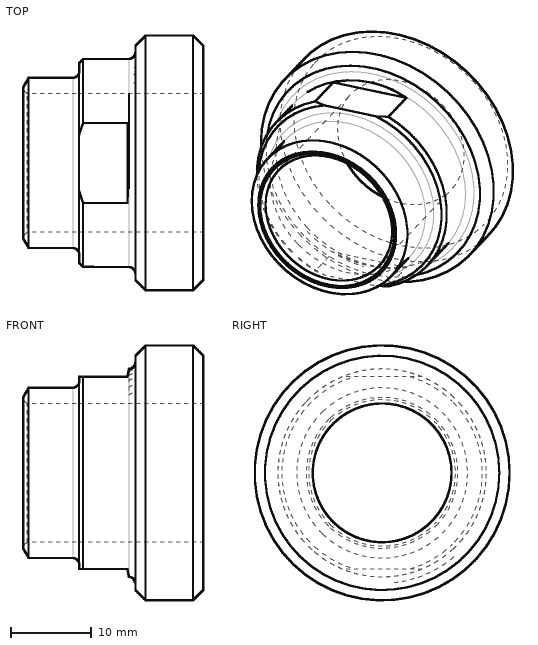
import cadquery as cq
import math

total_length = 22.5
body_start = 7.0
flange_start = 14.0

bore_diameter = 17.3
spigot_diameter = 21.3
body_diameter = 26.0
flange_diameter = 31.85

spigot_chamfer_length = 0.7
spigot_chamfer_angle = 60.0
bore_chamfer = 0.5
body_chamfer = 0.5
flange_chamfer = 1.3
shoulder_fillet = 0.8

across_flats = 24.0
flat_end = 13.0

spigot_radius = spigot_diameter / 2
body_radius = body_diameter / 2
flange_radius = flange_diameter / 2
spigot_chamfer_depth = spigot_chamfer_length * math.tan(math.radians(spigot_chamfer_angle))


def shoulder_arc_middle(shoulder_x, inner_radius):
    """Midpoint of the concave quarter arc between a cylinder and its shoulder face."""
    offset = shoulder_fillet * (1 - math.sqrt(0.5))
    return (shoulder_x - offset, inner_radius + offset)


def make_outer_body():
    """Solid of revolution about X: spigot, body and flange."""
    profile = (
        cq.Workplane("XY")
        .moveTo(0, 0)
        .lineTo(0, spigot_radius - spigot_chamfer_depth)
        .lineTo(spigot_chamfer_length, spigot_radius)
        .lineTo(body_start - shoulder_fillet, spigot_radius)
        .threePointArc(
            shoulder_arc_middle(body_start, spigot_radius),
            (body_start, spigot_radius + shoulder_fillet),
        )
        .lineTo(body_start, body_radius - body_chamfer)
        .lineTo(body_start + body_chamfer, body_radius)
        .lineTo(flange_start - shoulder_fillet, body_radius)
        .threePointArc(
            shoulder_arc_middle(flange_start, body_radius),
            (flange_start, body_radius + shoulder_fillet),
        )
        .lineTo(flange_start, flange_radius - flange_chamfer)
        .lineTo(flange_start + flange_chamfer, flange_radius)
        .lineTo(total_length - flange_chamfer, flange_radius)
        .lineTo(total_length, flange_radius - flange_chamfer)
        .lineTo(total_length, 0)
        .close()
    )
    return profile.revolve(360, (0, 0, 0), (1, 0, 0))


def make_flat_cutter():
    """Prism that clears the top wrench flat and leaves a sloping wall at its flange end."""
    flat_height = across_flats / 2
    return (
        cq.Workplane("XZ")
        .polyline([
            (body_start, flat_height),
            (flat_end, flat_height),
            (flange_start - shoulder_fillet, body_radius),
            (body_start, body_radius),
        ])
        .close()
        .extrude(body_radius, both=True)
    )


def make_bore_cutter():
    """Through bore with a lead-in chamfer at the spigot end."""
    bore = cq.Workplane("YZ").circle(bore_diameter / 2).extrude(total_length)
    lead_in = cq.Workplane("XY").polyline([
        (0, 0),
        (0, bore_diameter / 2 + bore_chamfer),
        (bore_chamfer, bore_diameter / 2),
        (bore_chamfer, 0),
    ]).close().revolve(360, (0, 0, 0), (1, 0, 0))
    return bore.union(lead_in)


result = make_outer_body()
for flat_angle in (0, 180):
    result = result.cut(make_flat_cutter().rotate((0, 0, 0), (1, 0, 0), flat_angle))
result = result.cut(make_bore_cutter())